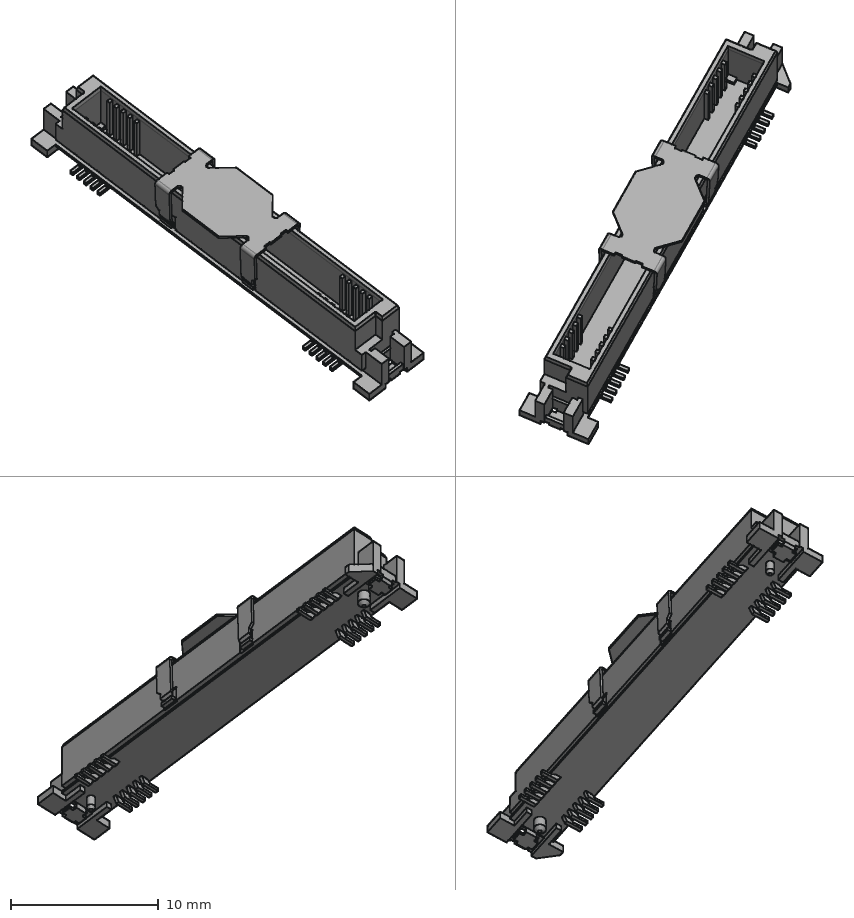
import cadquery as cq
import math


overall_length = 32.27
housing_length = 29.25
housing_width = 3.58
housing_top = 5.05
overhang_z = 1.15
waist_width = 2.85
flange_bottom = 0.5
flange_top = 0.68
rim_chamfer_height = 0.3
rim_chamfer_width = 0.1
key_length = 0.65
key_edge_y = 0.15

cavity_length = 26.8
cavity_width = 2.6
cavity_lip_width = 0.05
corner_pad_length = 0.45
corner_pad_width = 0.65
corner_pad_height = 0.25

contact_count = 5
contact_pitch = 0.65
contact_outer_x = 12.4
contact_width = 0.25
contact_depth = 0.3
contact_top = 4.58
tail_span = 5.05
tail_thickness = 0.25
tail_bend_y = 1.5

ear_height = 2.8
ear_gap = 1.45
foot_span = 5.2
foot_gap = 2.03
foot_notch_z = 0.4
foot_corner_flat = 0.35
pad_inner_x = 13.17

lug_plate_thickness = 0.2
lug_plate_width = 2.2
lug_plate_top = 1.55
lip_thickness = 0.23
lip_setback = 0.1
lip_top = 0.97
lug_foot_width = 1.52
lug_foot_height = 0.23
lug_stem_width = 0.87
lug_stem_bevel = 0.2
lug_corner_gap = 0.15

peg_x = 13.65
left_peg_radius = 0.42
right_peg_radius = 0.3
peg_cone_z = -0.35
peg_tip_z = -0.6
peg_tip_radius = 0.13

cap_thickness = 0.2
cap_width = 5.2
cap_flat_half = 1.75
cap_neck_x = 3.05
cap_neck_y = 1.23
cap_neck_bevel = 0.13
arm_inner_x = 3.4
arm_outer_x = 4.75
arm_outer_y = 2.2
arm_bend_radius = 0.25
arm_lean = 0.1
arm_bottom = 1.8
arm_taper_top = 2.75
arm_taper = 0.32
edge_notch_depth = 0.2
edge_middle_depth = 0.1
edge_notch_inner_y = 0.52
edge_notch_outer_y = 1.03

seat_inner_x = 3.2
seat_top = 2.45
seat_depth = 0.1
catch_bottom = 1.35
catch_top = 1.65
catch_outer_y = 2.0

half_length = overall_length / 2
housing_end = housing_length / 2
housing_side = housing_width / 2
waist_side = waist_width / 2
cavity_end = cavity_length / 2
cavity_side = cavity_width / 2
cavity_floor = overhang_z
cap_top = housing_top + cap_thickness


def block(x_range, y_range, z_range):
    """Box spanning the given (low, high) coordinate pairs."""
    ranges = (x_range, y_range, z_range)
    sizes = [high - low for low, high in ranges]
    corner = tuple(low for low, high in ranges)
    return cq.Workplane("XY").box(*sizes, centered=False).translate(corner)


def centred_block(length, width, bottom, top):
    return block((-length / 2, length / 2), (-width / 2, width / 2), (bottom, top))


def mirror_x(shape):
    return shape.mirror("YZ")


def both_sides(shape):
    """The shape together with its mirror image across Y = 0."""
    return shape.union(shape.mirror("XZ"))


def make_shroud():
    keyed_end = housing_end - key_length
    keyed_outline = [
        (-housing_end, housing_side),
        (housing_end, housing_side),
        (housing_end, key_edge_y),
        (keyed_end, key_edge_y),
        (keyed_end, -housing_side),
        (-keyed_end, -housing_side),
        (-keyed_end, key_edge_y),
        (-housing_end, key_edge_y),
    ]
    chamfer_start = housing_top - rim_chamfer_height
    chamfer_angle = math.degrees(math.atan2(rim_chamfer_width, rim_chamfer_height))
    lower = centred_block(housing_length, housing_width, overhang_z, ear_height)
    upper = (
        cq.Workplane("XY").workplane(offset=ear_height)
        .polyline(keyed_outline).close()
        .extrude(chamfer_start - ear_height)
    )
    rim = (
        cq.Workplane("XY").workplane(offset=chamfer_start)
        .polyline(keyed_outline).close()
        .extrude(rim_chamfer_height, taper=chamfer_angle)
    )
    waist = centred_block(housing_length, waist_width, flange_top, overhang_z)
    flange = centred_block(housing_length, housing_width, flange_bottom, flange_top)
    return lower.union(upper).union(rim).union(waist).union(flange)


def make_cavity():
    lip_angle = math.degrees(math.atan2(cavity_lip_width, rim_chamfer_height))
    cavity = centred_block(cavity_length, cavity_width, cavity_floor, housing_top)
    lead_in = (
        cq.Workplane("XY").workplane(offset=housing_top)
        .rect(cavity_length + 2 * cavity_lip_width, cavity_width + 2 * cavity_lip_width)
        .extrude(-rim_chamfer_height, taper=lip_angle)
    )
    return cavity.union(lead_in)


def make_corner_pads():
    pads = both_sides(block(
        (cavity_end - corner_pad_length, cavity_end),
        (cavity_side - corner_pad_width, cavity_side),
        (cavity_floor, cavity_floor + corner_pad_height),
    ))
    return pads.union(mirror_x(pads))


def make_contact(x):
    """Blade on the cavity wall and the bent solder tail below it, at both sides."""
    x_range = (x - contact_width / 2, x + contact_width / 2)
    blade = block(x_range, (cavity_side - contact_depth, cavity_side), (cavity_floor, contact_top))
    tail_end = tail_span / 2
    tail_inner = foot_gap / 2
    tail_profile = [
        (tail_inner, flange_bottom),
        (tail_inner + tail_thickness, 0),
        (tail_end, 0),
        (tail_end, tail_thickness),
        (housing_side, tail_thickness),
        (tail_bend_y, flange_bottom),
    ]
    tail = (
        cq.Workplane("YZ").workplane(offset=x_range[0])
        .polyline(tail_profile).close()
        .extrude(contact_width)
    )
    return both_sides(blade).union(both_sides(tail))


def make_bracket():
    """Right-hand pair of ears with their feet and the pads under the housing."""
    x_range = (housing_end, half_length)
    ear = block(x_range, (ear_gap / 2, waist_side), (foot_notch_z, ear_height))
    foot = block(x_range, (foot_gap / 2, foot_span / 2), (0, flange_top))
    pad = block((pad_inner_x, housing_end), (foot_gap / 2, waist_side), (0, flange_bottom))
    slot = block(
        (housing_end, housing_end + lug_plate_thickness),
        (0, lug_plate_width / 2),
        (lug_plate_top, ear_height),
    )
    return both_sides(ear.cut(slot).union(foot).union(pad))


def make_foot_bevel():
    """Corner removed from the left foot on the +Y side."""
    foot_edge = foot_span / 2
    return (
        cq.Workplane("XY")
        .polyline([
            (-half_length, waist_side),
            (-half_length, foot_edge),
            (-housing_end - foot_corner_flat, foot_edge),
        ]).close()
        .extrude(flange_top)
    )


def make_lug():
    """Right-hand hold-down lug: back plate, outer lip, and a cross-shaped foot."""
    plate_x = housing_end + lug_plate_thickness
    lip_outer = half_length - lip_setback
    lip_inner = lip_outer - lip_thickness
    half_foot = lug_foot_width / 2
    half_stem = lug_stem_width / 2
    plate = block(
        (housing_end, plate_x),
        (-lug_plate_width / 2, lug_plate_width / 2),
        (foot_notch_z, lug_plate_top),
    )
    lip = block((lip_inner, lip_outer), (-ear_gap / 2, ear_gap / 2), (foot_notch_z, lip_top))
    stem = block((housing_end, lip_outer), (-half_stem, half_stem), (0, foot_notch_z))
    stem = stem.edges(">X and <Z").chamfer(lug_stem_bevel)
    stem_recess = block(
        (plate_x, lip_inner),
        (-half_stem, half_stem),
        (lug_foot_height, foot_notch_z),
    )
    foot = block(
        (plate_x + lug_corner_gap, lip_inner - lug_corner_gap),
        (-half_foot, half_foot),
        (0, lug_foot_height),
    )
    return plate.union(lip).union(stem.cut(stem_recess)).union(foot)


def make_peg(x, radius):
    profile = [
        (0, flange_bottom),
        (radius, flange_bottom),
        (radius, peg_cone_z),
        (peg_tip_radius, peg_tip_z),
        (0, peg_tip_z),
    ]
    peg = cq.Workplane("XZ").polyline(profile).close().revolve(360, (0, 0), (0, 1))
    return peg.translate((x, 0, 0))


def make_seat_recess():
    """Right-hand -Y recess behind the cap arm's tip."""
    return block(
        (seat_inner_x, arm_outer_x - arm_taper),
        (-housing_side, seat_depth - housing_side),
        (overhang_z, seat_top),
    )


def make_catch():
    """Right-hand -Y ridge that the cap arm's tip sits above."""
    return block(
        (arm_inner_x, arm_outer_x - arm_taper),
        (-catch_outer_y, seat_depth - housing_side),
        (catch_bottom, catch_top),
    )


def make_cap_plate():
    """Octagonal suction plate with a neck toward each pair of arms."""
    quarter = [
        (arm_inner_x, cap_neck_y + cap_neck_bevel),
        (arm_inner_x - cap_neck_bevel, cap_neck_y),
        (cap_neck_x, cap_neck_y),
        (cap_flat_half, cap_width / 2),
    ]
    upper = quarter + [(-x, y) for x, y in reversed(quarter)]
    outline = upper + [(-x, -y) for x, y in upper]
    return (
        cq.Workplane("XY").workplane(offset=housing_top)
        .polyline(outline).close()
        .extrude(cap_thickness)
    )


def make_arms():
    """Right-hand strap over the housing with an arm down each side."""
    inner_y = arm_outer_y - cap_thickness
    bend_inner_radius = arm_bend_radius - cap_thickness
    inset = 1 - math.sqrt(0.5)
    outer_bend = arm_bend_radius * inset
    inner_bend = bend_inner_radius * inset
    tip_outer_y = arm_outer_y - arm_lean
    tip_inner_y = inner_y - arm_lean
    profile = (
        cq.Workplane("YZ").workplane(offset=arm_inner_x)
        .moveTo(0, cap_top)
        .lineTo(arm_outer_y - arm_bend_radius, cap_top)
        .threePointArc((arm_outer_y - outer_bend, cap_top - outer_bend),
                       (arm_outer_y, cap_top - arm_bend_radius))
        .lineTo(tip_outer_y, arm_bottom + cap_thickness)
        .lineTo(tip_inner_y, arm_bottom)
        .lineTo(inner_y, cap_top - arm_bend_radius)
        .threePointArc((inner_y - inner_bend, housing_top - inner_bend),
                       (inner_y - bend_inner_radius, housing_top))
        .lineTo(0, housing_top)
        .close()
    )
    strap = both_sides(profile.extrude(arm_outer_x - arm_inner_x))

    tip_side_x = arm_outer_x - arm_taper
    taper_cut = (
        cq.Workplane("XZ")
        .polyline([
            (arm_outer_x, arm_taper_top),
            (tip_side_x, arm_taper_top - arm_taper),
            (tip_side_x, 0),
            (arm_outer_x, 0),
        ]).close()
        .extrude(cap_width / 2, both=True)
    )
    middle_cut = block(
        (arm_outer_x - edge_middle_depth, arm_outer_x),
        (-edge_notch_outer_y, edge_notch_outer_y),
        (housing_top, cap_top),
    )
    notch_cut = block(
        (arm_outer_x - edge_notch_depth, arm_outer_x),
        (edge_notch_inner_y, edge_notch_outer_y),
        (housing_top, cap_top),
    )
    return strap.cut(taper_cut).cut(middle_cut).cut(both_sides(notch_cut))


seat_recess = both_sides(make_seat_recess())
catch = both_sides(make_catch())
bracket = make_bracket()
lug = make_lug()
arms = make_arms()

result = make_shroud().cut(make_cavity()).union(make_corner_pads())
result = result.cut(seat_recess).cut(mirror_x(seat_recess))
for end_part in (catch, bracket, lug):
    result = result.union(end_part).union(mirror_x(end_part))
result = result.cut(make_foot_bevel())
result = result.union(make_peg(-peg_x, left_peg_radius)).union(make_peg(peg_x, right_peg_radius))

for index in range(contact_count):
    contact_x = contact_outer_x - index * contact_pitch
    result = result.union(make_contact(contact_x)).union(make_contact(-contact_x))

result = result.union(make_cap_plate()).union(arms).union(mirror_x(arms))